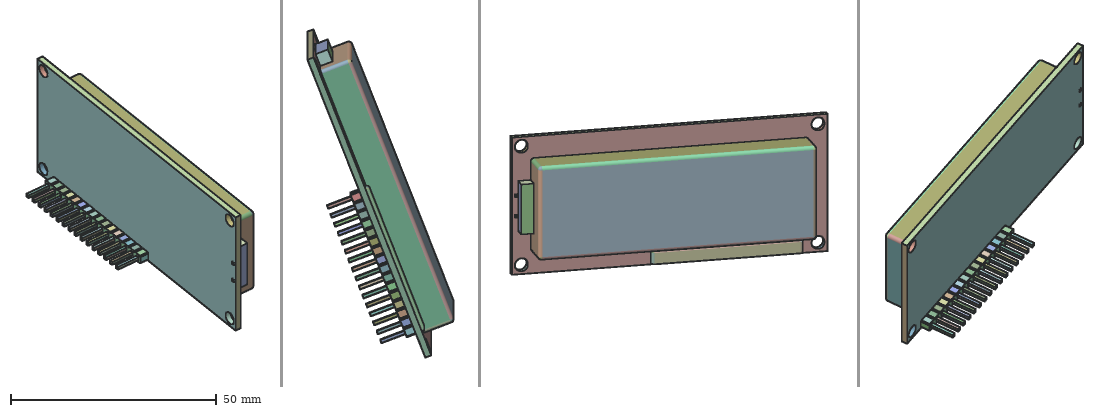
import cadquery as cq


board_width = 79.4
board_height = 34.9
board_thickness = 1.6
mount_hole_diameter = 3.25
mount_hole_inset = 2.4

housing_width = 70.0
housing_height = 23.8
housing_depth = 7.9
housing_rounding = 0.9

tab_length = 3.2
tab_depth = 3.2
tab_height = 12.7
lead_hole_size = 0.7
lead_hole_spacing = 5.2
lead_hole_inset = 1.1

pin_count = 16
header_length = 38.2
first_pin_inset = 7.5
pin_row_height = 1.35
pin_size = 0.9
pin_length = 6.35
block_depth = 2.4
block_chamfer = 0.28

strip_height = 3.1
strip_depth = 0.9
strip_bottom_gap = 0.15
strip_end_rounding = 0.7
strip_edge_rounding = 0.15

board_right = board_width / 2
board_bottom = -board_height / 2
first_pin_x = -board_right + first_pin_inset
pin_pitch = header_length / pin_count
header_center_x = first_pin_x + (pin_count - 1) * pin_pitch / 2
pin_row_z = board_bottom + pin_row_height


def block(width, depth, height, x, y_start, z):
    """Box centred on x and z that runs from y_start toward +Y."""
    return cq.Workplane("XY").box(width, depth, height).translate((x, y_start + depth / 2, z))


def make_board():
    board = block(board_width, board_thickness, board_height, 0, 0, 0)
    mount_holes = (
        cq.Workplane("XZ")
        .rect(board_width - 2 * mount_hole_inset, board_height - 2 * mount_hole_inset, forConstruction=True)
        .vertices()
        .circle(mount_hole_diameter / 2)
        .extrude(-board_thickness)
    )
    board = board.cut(mount_holes)
    for side in (-1, 1):
        lead_hole = block(
            lead_hole_size, board_thickness, lead_hole_size,
            board_right - lead_hole_inset, 0, side * lead_hole_spacing / 2,
        )
        board = board.cut(lead_hole)
    return board


def make_housing():
    housing = block(housing_width, housing_depth, housing_height, 0, board_thickness, 0)
    return housing.edges("|Y or >Y").fillet(housing_rounding)


def make_backlight_tab():
    overlap = housing_rounding
    length = tab_length + overlap
    center_x = housing_width / 2 - overlap + length / 2
    return block(length, tab_depth, tab_height, center_x, board_thickness, 0)


def make_solder_strip():
    center_z = board_bottom + strip_bottom_gap + strip_height / 2
    strip = block(header_length, strip_depth, strip_height, header_center_x, board_thickness, center_z)
    strip = strip.edges(">Y and |Z").fillet(strip_end_rounding)
    return strip.edges(">Y and |X").fillet(strip_edge_rounding)


def make_header_position(x):
    """One chamfered header block with its square pin."""
    base = block(pin_pitch, block_depth, pin_pitch, x, -block_depth, pin_row_z)
    base = base.edges("|Y").chamfer(block_chamfer)
    pin = block(pin_size, pin_length, pin_size, x, -block_depth - pin_length, pin_row_z)
    return base.union(pin)


result = (
    make_board()
    .union(make_housing())
    .union(make_backlight_tab())
    .union(make_solder_strip())
)
for index in range(pin_count):
    result = result.union(make_header_position(first_pin_x + index * pin_pitch))